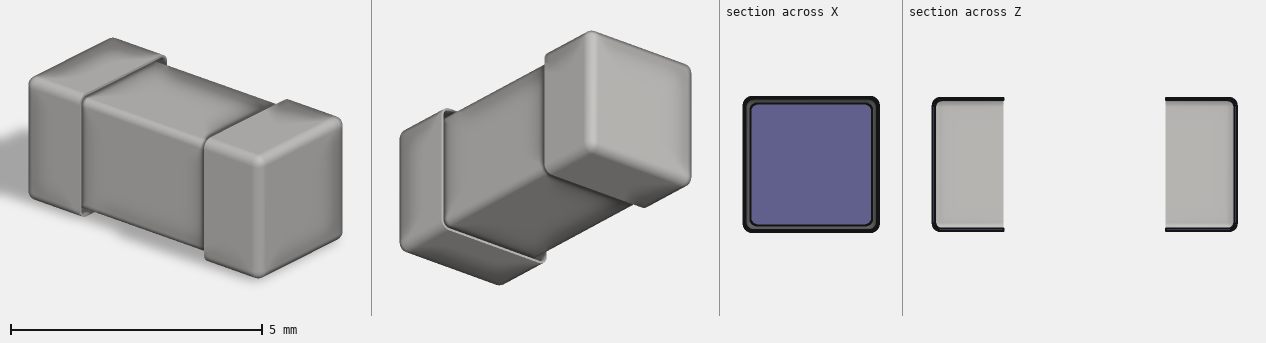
import cadquery as cq

LENGTH = 6.1
CAP_SIDE = 2.7

CAP_LENGTH = 1.44
CAP_WALL = 0.05
CAP_ROUND = 0.195
CAVITY_ROUND = CAP_ROUND - CAP_WALL

SIDE_STEP = 0.135
BODY_SIDE = CAP_SIDE - 2 * SIDE_STEP
BODY_ROUND = 0.15
BODY_LENGTH = LENGTH - 2 * CAP_WALL


def rounded_block(length, side, radius):
    """Square block along X with every edge rounded."""
    return cq.Workplane("XY").box(length, side, side).edges().fillet(radius)


def end_caps():
    """Hollow out one fully rounded block, then cut away its middle to leave a cup at each end."""
    inset = 2 * CAP_WALL
    outside = rounded_block(LENGTH, CAP_SIDE, CAP_ROUND)
    cavity = rounded_block(LENGTH - inset, CAP_SIDE - inset, CAVITY_ROUND)
    opening = cq.Workplane("XY").box(LENGTH - 2 * CAP_LENGTH, CAP_SIDE, CAP_SIDE)
    return outside.cut(cavity).cut(opening)


def body():
    """Square bar with only its long edges rounded, touching both cap end walls."""
    bar = cq.Workplane("XY").box(BODY_LENGTH, BODY_SIDE, BODY_SIDE)
    return bar.edges("|X").fillet(BODY_ROUND)


result = end_caps().union(body())